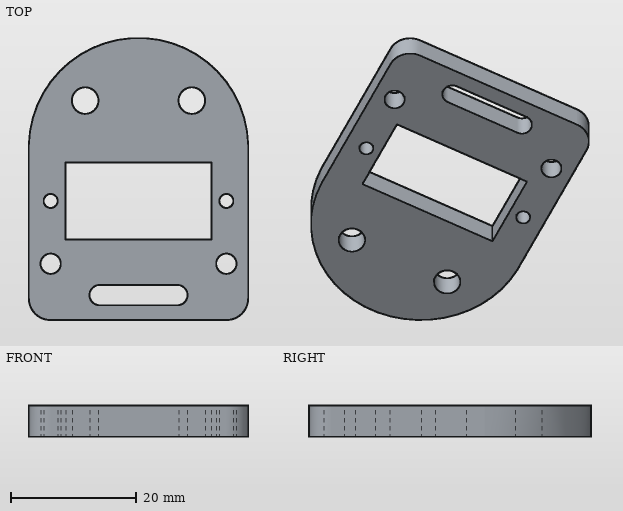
import cadquery as cq

width = 35.0
length = 45.0
thickness = 5.0
corner_radius = 3.5
arch_height = 17.0
shoulder_y = length - arch_height

window_width = 23.2
window_height = 12.2
window_y = 19.0
screw_hole_diameter = 2.2

side_hole_offset = 14.0
lower_hole_diameter = 3.2
lower_hole_y = 9.0
upper_hole_diameter = 4.2
upper_hole_offset = 8.5
upper_hole_y = 35.0

slot_width = 3.2
slot_length = 15.6
slot_y = 4.0


def make_plate():
    """Plate with an arched top end and two rounded bottom corners."""
    half_width = width / 2
    return (
        cq.Workplane("XY")
        .moveTo(-half_width, 0)
        .lineTo(half_width, 0)
        .lineTo(half_width, shoulder_y)
        .threePointArc((0, length), (-half_width, shoulder_y))
        .close()
        .extrude(thickness)
        .edges("|Z and <Y")
        .fillet(corner_radius)
    )


def cut_hole_pair(body, diameter, offset, y):
    """Cut two through holes, mirrored about X = 0."""
    cutter = (
        cq.Workplane("XY")
        .pushPoints([(-offset, y), (offset, y)])
        .circle(diameter / 2)
        .extrude(thickness)
    )
    return body.cut(cutter)


def cut_window(body):
    """Cut the sharp-cornered rectangular opening."""
    cutter = cq.Workplane("XY").center(0, window_y).rect(window_width, window_height).extrude(thickness)
    return body.cut(cutter)


def cut_slot(body):
    """Cut the round-ended slot along X."""
    cutter = cq.Workplane("XY").center(0, slot_y).slot2D(slot_length, slot_width).extrude(thickness)
    return body.cut(cutter)


result = make_plate()
result = cut_window(result)
result = cut_hole_pair(result, screw_hole_diameter, side_hole_offset, window_y)
result = cut_hole_pair(result, lower_hole_diameter, side_hole_offset, lower_hole_y)
result = cut_hole_pair(result, upper_hole_diameter, upper_hole_offset, upper_hole_y)
result = cut_slot(result)